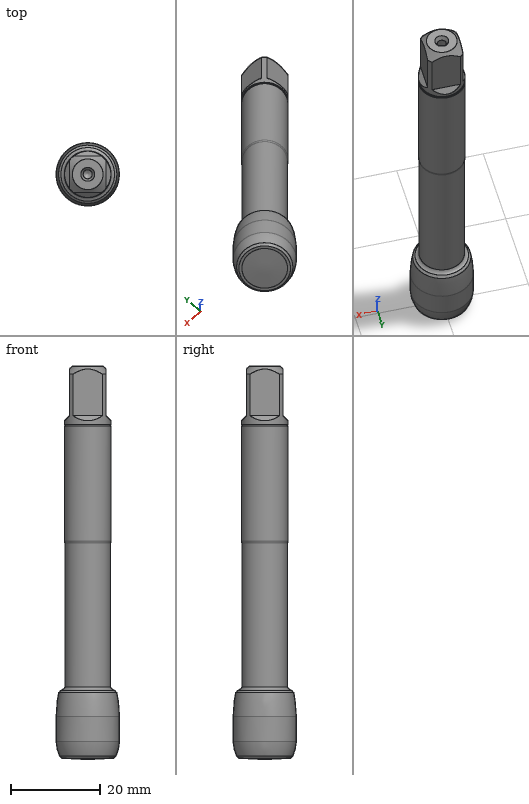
import cadquery as cq
import math

total_length = 88.0

shank_diameter = 10.5
slide_diameter = 10.2
slide_top = 48.4
step_height = 0.4

groove_diameter = 10.1
groove_width = 0.35
groove_center = total_length - 13.3

square_width = 8.2
square_length = 11.1
tip_diameter = 6.9
tip_chamfer = (shank_diameter - tip_diameter) / 2

hole_mouth_diameter = 3.1
hole_diameter = 2.0
hole_depth = 2.6
countersink_depth = (hole_mouth_diameter - hole_diameter) / 2 / math.tan(math.radians(30))
drill_point_depth = hole_diameter / 2 / math.tan(math.radians(59))

flare_height = 0.8
flare_bulge_depth = 0.13
end_point_height = 0.3

sleeve_bottom = end_point_height
sleeve_diameter = 14.2
sleeve_foot_diameter = 12.6
sleeve_shoulder_diameter = 13.0
sleeve_rim_diameter = 12.0
foot_chamfer = 0.5
foot_bulge = 0.2
band_bottom = 4.05
band_top = 9.6
shoulder_height = 15.0
rim_height = shoulder_height + (sleeve_shoulder_diameter - sleeve_rim_diameter) / 2


def make_shank():
    """Revolved shank with a pointed end, a seating flare, a tapered step, ring groove and chamfered tip."""
    shank_radius = shank_diameter / 2
    slide_radius = slide_diameter / 2
    groove_bottom = groove_center - groove_width / 2
    groove_top = groove_center + groove_width / 2
    return (
        cq.Workplane("XZ")
        .lineTo(slide_radius, end_point_height)
        .lineTo(slide_radius, rim_height)
        .lineTo(sleeve_rim_diameter / 2, rim_height)
        .sagittaArc((slide_radius, rim_height + flare_height), flare_bulge_depth)
        .lineTo(slide_radius, slide_top)
        .lineTo(shank_radius, slide_top + step_height)
        .lineTo(shank_radius, groove_bottom)
        .lineTo(groove_diameter / 2, groove_bottom)
        .lineTo(groove_diameter / 2, groove_top)
        .lineTo(shank_radius, groove_top)
        .lineTo(shank_radius, total_length - tip_chamfer)
        .lineTo(tip_diameter / 2, total_length)
        .lineTo(0, total_length)
        .close()
        .revolve(360, (0, 0, 0), (0, 1, 0))
    )


def make_flat_cutter():
    """Cutter for the flat on the +X side, with a 45 degree run-out at its lower end."""
    flat_bottom = total_length - square_length
    cut_reach = shank_diameter - square_width / 2
    return (
        cq.Workplane("XZ")
        .moveTo(square_width / 2, flat_bottom)
        .lineTo(square_width / 2, total_length)
        .lineTo(shank_diameter, total_length)
        .lineTo(shank_diameter, flat_bottom - cut_reach)
        .close()
        .extrude(shank_diameter / 2, both=True)
    )


def make_center_hole():
    """Countersunk drilled hole, as a solid to cut away."""
    countersink_bottom = total_length - countersink_depth
    drill_bottom = total_length - hole_depth
    return (
        cq.Workplane("XZ")
        .moveTo(0, total_length)
        .lineTo(hole_mouth_diameter / 2, total_length)
        .lineTo(hole_diameter / 2, countersink_bottom)
        .lineTo(hole_diameter / 2, drill_bottom)
        .lineTo(0, drill_bottom - drill_point_depth)
        .close()
        .revolve(360, (0, 0, 0), (0, 1, 0))
    )


def make_shaft():
    """Shaft with a square drive and a centre hole at its upper end."""
    body = make_shank()
    flat_cutter = make_flat_cutter()
    for angle in (0, 90, 180, 270):
        body = body.cut(flat_cutter.rotate((0, 0, 0), (0, 0, 1), angle))
    return body.cut(make_center_hole())


def make_sleeve():
    """Barrel-shaped sleeve; both curved flanks bow outward from the straight band."""
    bore_radius = slide_diameter / 2
    foot_radius = sleeve_foot_diameter / 2
    band_radius = sleeve_diameter / 2
    shoulder_radius = sleeve_shoulder_diameter / 2
    return (
        cq.Workplane("XZ")
        .moveTo(bore_radius, sleeve_bottom)
        .lineTo(foot_radius - foot_chamfer, sleeve_bottom)
        .lineTo(foot_radius, sleeve_bottom + foot_chamfer)
        .sagittaArc((band_radius, band_bottom), -foot_bulge)
        .lineTo(band_radius, band_top)
        .tangentArcPoint((shoulder_radius, shoulder_height), relative=False)
        .lineTo(sleeve_rim_diameter / 2, rim_height)
        .lineTo(bore_radius, rim_height)
        .close()
        .revolve(360, (0, 0, 0), (0, 1, 0))
    )


shaft = make_shaft()
sleeve = make_sleeve()
result = cq.Compound.makeCompound([shaft.val(), sleeve.val()])